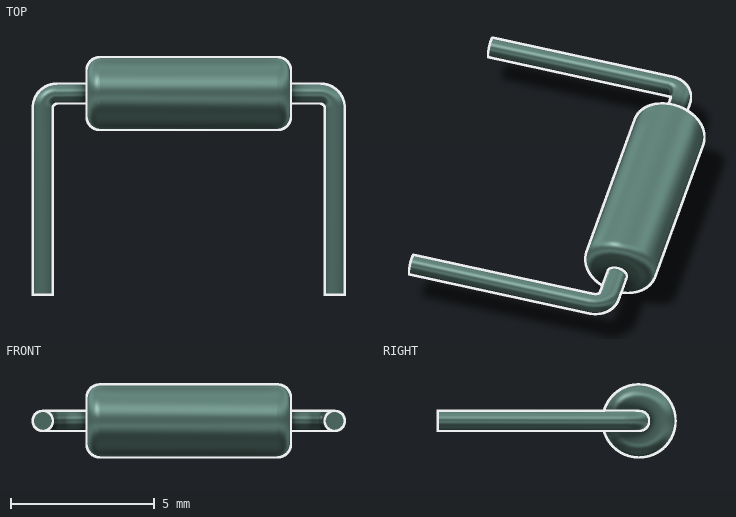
import cadquery as cq
import math

overall_width = 10.86
overall_depth = 8.28
body_diameter = 2.55
body_length = 7.12
body_edge_radius = 0.49
lead_diameter = 0.71
bend_radius = 0.5

lead_x = (overall_width - lead_diameter) / 2
lead_end_y = body_diameter / 2 - overall_depth
bend_start_x = lead_x - bend_radius
bend_mid_offset = bend_radius * math.sin(math.pi / 4)


def make_body():
    """Cylinder centred on the origin, with rounded end rims."""
    return (
        cq.Workplane("YZ")
        .cylinder(body_length, body_diameter / 2)
        .edges("%CIRCLE")
        .fillet(body_edge_radius)
    )


def make_right_lead():
    """Round wire from the body centre, out along +X and bent toward -Y."""
    path = (
        cq.Workplane("XY")
        .moveTo(0, 0)
        .lineTo(bend_start_x, 0)
        .threePointArc(
            (bend_start_x + bend_mid_offset, bend_mid_offset - bend_radius),
            (lead_x, -bend_radius),
        )
        .lineTo(lead_x, lead_end_y)
    )
    return cq.Workplane("YZ").circle(lead_diameter / 2).sweep(path)


right_lead = make_right_lead()
left_lead = right_lead.mirror("YZ")
result = make_body().union(right_lead).union(left_lead)